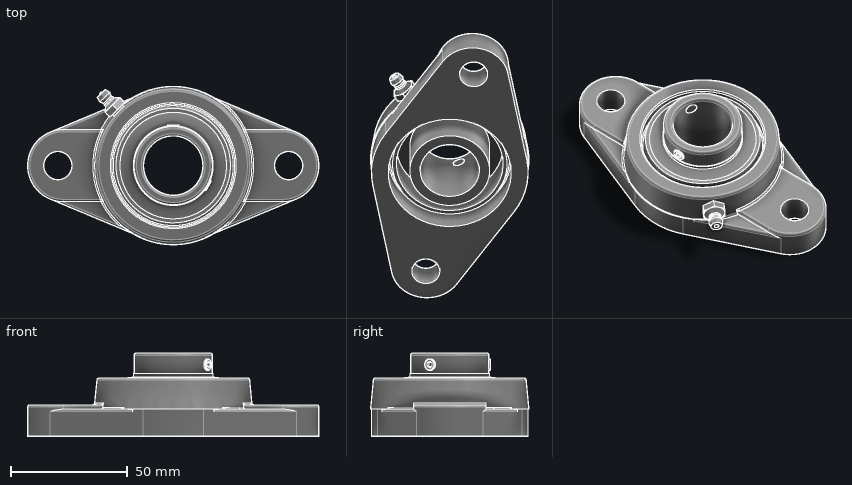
import cadquery as cq
import math

LENGTH = 125.0
CENTRE_R = 33.6
EAR_R = 15.5
EAR_X = LENGTH / 2 - EAR_R
WEB_TOP = 11.6
PAD_TOP = 13.5
EDGE_R = 1.0
EDGE_RUNOUT = 4.9
BOLT_HOLE_D = 12.0
BOLT_X = 49.5

BOSS_BASE_R = 34.0
BOSS_TOP = 25.0
BOSS_TOP_R = 32.8
BOSS_FILLET = 1.0
COVE = 0.8
COVE_MIDDLE = 0.35

BEARING_Z = 16.2
BALL_R = 26.0
OUTER_RING_W = 17.0
OUTER_RING_BORE_R = 22.9
SEAT_EDGE_R = 25.8
HOUSING_BORE_R = 26.4
BORE_CHAMFER = 0.6
OUTER_RING_TOP = BEARING_Z + OUTER_RING_W / 2

BORE_R = 25.4 / 2
COLLAR_R = 33.6 / 2
INNER_RING_R = 34.2 / 2
INNER_RING_BOTTOM = 2.0
COLLAR_BOTTOM = 27.0
COLLAR_TOP = 35.8
COLLAR_ROUND = 1.0

SEAL_INNER_TOP = 25.4
SEAL_THICKNESS = 1.5

SCREW_D = 5.0
SCREW_Z = 30.8
SCREW_OUTER = 17.5
SCREW_CHAMFER = 0.2
SCREW_ANGLES = (90, -30)
SOCKET_FLATS = 2.4
SOCKET_DEPTH = 1.9

NIPPLE_ANGLE = 135
NIPPLE_Z = 19.0
SHANK_R = 3.0
SHANK_END = 28.8
HEX_FLATS = 9.0
HEX_START = 33.9
HEX_END = 36.9
NECK_START = 38.5
NECK_STEP = 39.2
HEAD_START = 40.0
HEAD_PEAK = 41.5
HEAD_END = 43.8
NECK_R = 2.6
NECK_GROOVE_R = 2.4
HEAD_R = 3.0
HEAD_TIP_R = 4.9 / 2
TIP_BALL_R = 1.2
TIP_BALL_RISE = 0.5


def cylinder(radius, bottom, top):
    return cq.Workplane("XY").workplane(offset=bottom).circle(radius).extrude(top - bottom)


def turned(points):
    """Solid turned about Z from an outline of (radius, height) points."""
    return cq.Workplane("XZ").polyline(points).close().revolve(360, (0, 0), (0, 1))


def radial_plane(angle, height):
    """Plane through the Z axis whose normal points outward at the given angle."""
    turn = math.radians(angle)
    outward = (math.cos(turn), math.sin(turn), 0)
    across = (-math.sin(turn), math.cos(turn), 0)
    return cq.Plane(origin=(0, 0, height), xDir=across, normal=outward)


def hex_across_corners(flats):
    return flats / math.cos(math.radians(30))


def flange_tangent_points():
    """Ends of the straight side at +X +Y: on the centre arc, then on the ear arc."""
    slant = math.asin((CENTRE_R - EAR_R) / EAR_X)
    on_centre = (CENTRE_R * math.sin(slant), CENTRE_R * math.cos(slant))
    on_ear = (EAR_X + EAR_R * math.sin(slant), EAR_R * math.cos(slant))
    return on_centre, on_ear


def flange_plan(height, inset=0):
    """Centre arcs and ear arcs joined by tangent lines, with the outline moved inward by the inset."""
    (centre_x, centre_y), (ear_x, ear_y) = flange_tangent_points()
    outline = (
        cq.Workplane("XY")
        .moveTo(-centre_x, centre_y)
        .threePointArc((0, CENTRE_R), (centre_x, centre_y))
        .lineTo(ear_x, ear_y)
        .threePointArc((LENGTH / 2, 0), (ear_x, -ear_y))
        .lineTo(centre_x, -centre_y)
        .threePointArc((0, -CENTRE_R), (-centre_x, -centre_y))
        .lineTo(-ear_x, -ear_y)
        .threePointArc((-LENGTH / 2, 0), (-ear_x, ear_y))
        .close()
    )
    if inset:
        outline = outline.offset2D(-inset)
    return outline.extrude(height)


def web_edge_cutters():
    """Four strips that round the top edges of the straight sides, stopping short of the centre arcs."""
    (start_x, start_y), (end_x, end_y) = flange_tangent_points()
    length = math.hypot(end_x - start_x, end_y - start_y)
    along = ((end_x - start_x) / length, (end_y - start_y) / length, 0)
    outward = (-along[1], along[0], 0)
    origin = (start_x + EDGE_RUNOUT * along[0], start_y + EDGE_RUNOUT * along[1], WEB_TOP)
    plane = cq.Plane(origin=origin, xDir=outward, normal=along)
    diagonal = EDGE_R * (1 - math.sqrt(0.5))
    margin = EDGE_R / 2
    strip = (
        cq.Workplane(plane)
        .moveTo(-EDGE_R, 0)
        .threePointArc((-diagonal, -diagonal), (0, -EDGE_R))
        .lineTo(margin, -EDGE_R)
        .lineTo(margin, margin)
        .lineTo(-EDGE_R, margin)
        .close()
        .extrude(length - EDGE_RUNOUT)
    )
    opposite = strip.mirror("YZ")
    return [strip, opposite, strip.mirror("XZ"), opposite.mirror("XZ")]


def pad_plan(height):
    """Round-ended bar that runs from ear to ear."""
    return cq.Workplane("XY").slot2D(LENGTH, 2 * EAR_R).extrude(height)


def boss_radius(height):
    taper = (BOSS_BASE_R - BOSS_TOP_R) / (BOSS_TOP - WEB_TOP)
    return BOSS_BASE_R - taper * (height - WEB_TOP)


def base_cove(floor):
    """Hollow ring in the corner between the boss wall and a flat floor."""
    wall_r = boss_radius(floor + COVE)
    core_r = wall_r - COVE
    middle = COVE_MIDDLE * COVE
    return (
        cq.Workplane("XZ")
        .moveTo(core_r, floor)
        .lineTo(wall_r + COVE, floor)
        .threePointArc((wall_r + middle, floor + middle), (wall_r, floor + COVE))
        .lineTo(core_r, floor + COVE)
        .close()
        .revolve(360, (0, 0), (0, 1))
    )


def make_housing():
    web = flange_plan(WEB_TOP)
    for strip in web_edge_cutters():
        web = web.cut(strip)
    pad = pad_plan(PAD_TOP).faces(">Z").edges().fillet(EDGE_R)
    boss = turned([(0, WEB_TOP), (BOSS_BASE_R, WEB_TOP), (BOSS_TOP_R, BOSS_TOP), (0, BOSS_TOP)])
    boss = boss.faces(">Z").edges().fillet(BOSS_FILLET)

    body = web.union(cylinder(CENTRE_R, 0, WEB_TOP)).union(pad).union(boss)
    body = body.union(base_cove(WEB_TOP).intersect(flange_plan(BOSS_TOP, EDGE_R)))
    body = body.union(base_cove(PAD_TOP).intersect(pad_plan(BOSS_TOP)))

    seat_half = math.sqrt(BALL_R**2 - SEAT_EDGE_R**2)
    seat = cq.Workplane("XY").sphere(BALL_R).translate((0, 0, BEARING_Z))
    upper_bore = cylinder(HOUSING_BORE_R, BEARING_Z + seat_half, BOSS_TOP)
    lower_bore = cylinder(HOUSING_BORE_R, 0, BEARING_Z - seat_half)
    mouth_r = HOUSING_BORE_R + BORE_CHAMFER
    mouth_bottom = BOSS_TOP - BORE_CHAMFER
    mouth = turned([(0, mouth_bottom), (HOUSING_BORE_R, mouth_bottom), (mouth_r, BOSS_TOP), (0, BOSS_TOP)])
    bolt_holes = (
        cq.Workplane("XY")
        .pushPoints([(-BOLT_X, 0), (BOLT_X, 0)])
        .circle(BOLT_HOLE_D / 2)
        .extrude(PAD_TOP)
    )
    nipple_hole = (
        cq.Workplane(radial_plane(NIPPLE_ANGLE, NIPPLE_Z))
        .workplane(offset=SHANK_END)
        .circle(SHANK_R)
        .extrude(HEX_START - SHANK_END)
    )
    for cutter in (seat, upper_bore, lower_bore, mouth, bolt_holes, nipple_hole):
        body = body.cut(cutter)
    return body


def make_outer_ring():
    half_width = OUTER_RING_W / 2
    end_r = math.sqrt(BALL_R**2 - half_width**2)
    bottom = BEARING_Z - half_width
    return (
        cq.Workplane("XZ")
        .moveTo(OUTER_RING_BORE_R, bottom)
        .lineTo(end_r, bottom)
        .threePointArc((BALL_R, BEARING_Z), (end_r, OUTER_RING_TOP))
        .lineTo(OUTER_RING_BORE_R, OUTER_RING_TOP)
        .close()
        .revolve(360, (0, 0), (0, 1))
    )


def make_inner_ring():
    body = cylinder(INNER_RING_R, INNER_RING_BOTTOM, COLLAR_BOTTOM)
    body = body.union(cylinder(COLLAR_R, COLLAR_BOTTOM, COLLAR_TOP))
    body = body.cut(cylinder(BORE_R, INNER_RING_BOTTOM, COLLAR_TOP))
    body = body.faces(">Z").edges().fillet(COLLAR_ROUND)
    for angle in SCREW_ANGLES:
        hole = cq.Workplane(radial_plane(angle, SCREW_Z)).circle(SCREW_D / 2).extrude(SCREW_OUTER)
        body = body.cut(hole)
    return body


def make_seal():
    bottom = OUTER_RING_TOP - SEAL_THICKNESS
    return turned(
        [
            (INNER_RING_R, bottom),
            (OUTER_RING_BORE_R, bottom),
            (OUTER_RING_BORE_R, OUTER_RING_TOP),
            (INNER_RING_R, SEAL_INNER_TOP),
        ]
    )


def make_set_screw(angle):
    plane = radial_plane(angle, SCREW_Z)
    outer_face = cq.selectors.DirectionMinMaxSelector(plane.zDir, True)
    screw = (
        cq.Workplane(plane)
        .workplane(offset=BORE_R)
        .circle(SCREW_D / 2)
        .extrude(SCREW_OUTER - BORE_R)
        .faces(outer_face)
        .edges()
        .chamfer(SCREW_CHAMFER)
    )
    socket = (
        cq.Workplane(plane)
        .workplane(offset=SCREW_OUTER - SOCKET_DEPTH)
        .transformed(rotate=(0, 0, 90))
        .polygon(6, hex_across_corners(SOCKET_FLATS))
        .extrude(SOCKET_DEPTH)
    )
    return screw.cut(socket)


def make_nipple():
    """Built upright along Z with its length as height, then laid over and turned outward."""
    profile = turned(
        [
            (0, SHANK_END),
            (SHANK_R, SHANK_END),
            (SHANK_R, HEX_END),
            (HEX_FLATS / 2, HEX_END),
            (NECK_R, NECK_START),
            (NECK_R, NECK_STEP),
            (NECK_GROOVE_R, NECK_STEP),
            (NECK_GROOVE_R, HEAD_START),
            (HEAD_R, HEAD_PEAK),
            (HEAD_TIP_R, HEAD_END),
            (0, HEAD_END),
        ]
    )
    hexagon = (
        cq.Workplane("XY")
        .workplane(offset=HEX_START)
        .polygon(6, hex_across_corners(HEX_FLATS))
        .extrude(HEX_END - HEX_START)
    )
    ball_centre = HEAD_END + TIP_BALL_RISE - TIP_BALL_R
    ball = cq.Workplane("XY").sphere(TIP_BALL_R).translate((0, 0, ball_centre))
    nipple = profile.union(hexagon).union(ball)
    laid_over = nipple.rotate((0, 0, 0), (0, 1, 0), 90)
    return laid_over.rotate((0, 0, 0), (0, 0, 1), NIPPLE_ANGLE).translate((0, 0, NIPPLE_Z))


housing = make_housing()
outer_ring = make_outer_ring()
inner_ring = make_inner_ring()
seal = make_seal()
set_screws = [make_set_screw(angle) for angle in SCREW_ANGLES]
nipple = make_nipple()

result = cq.Compound.makeCompound(
    [
        housing.val(),
        outer_ring.val(),
        inner_ring.val(),
        seal.val(),
        *[screw.val() for screw in set_screws],
        nipple.val(),
    ]
)